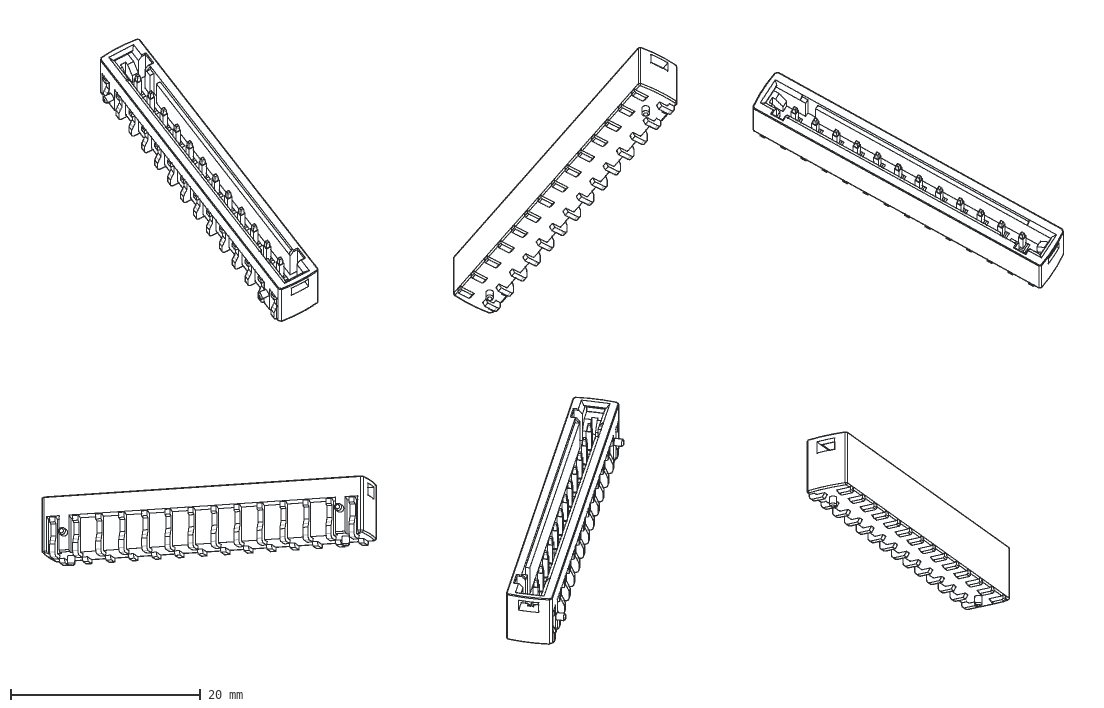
import cadquery as cq
import math


length = 35.78
depth = 4.95
height = 6.05
end_bulge = 0.18
front_corner_chamfer = 0.25
back_corner_chamfer = 0.18
rim_chamfer = 0.09
base_chamfer = 0.18

floor_z = -4.0
opening_length = 34.55
opening_width = 3.08
cavity_length = 33.8
cavity_width = 2.15
side_lead_in = 0.55
end_lead_in = (opening_length - cavity_length) / 2
end_recess = 3.95
gap_from_end = 5.22
gap_width = 1.25
slot_from_end = 2.97
slot_width = 1.32
slot_back_y = 1.97
slot_chamfer = 0.1

window_top = -0.55
window_sill = -1.82
ramp_start = 1.35
ramp_end = 2.3
ramp_foot_z = window_sill - (ramp_end - ramp_start)
groove_width = 0.65

pitch = 2.55
pin_count = 12
contact_count = pin_count + 2
contact_width = 0.57
pin_tip_z = -0.55
pin_shoulder_z = -1.32
pin_neck_z = -0.75
pin_shoulder_width = 0.45
pin_neck_width = 0.4
pin_tip_width = 0.3
collar_width = 1.2
collar_top_width = 0.93
collar_height = 0.35
contact_front_y = -2.58
blade_front_y = -2.15
nose_top_z = -2.25
nose_bottom_z = -2.8
blade_top_z = -2.95
blade_bottom_z = -4.22
step_y = -2.4
step_z = -4.75
front_foot_top_z = -5.2
foot_z = -6.48
foot_radius = 0.43
arch_width = 2.0
arch_top_width = 1.43
heel_y = 2.45
heel_chamfer = 0.15
spine_y = -1.43
bar_top_z = -5.72

recess_top = -2.15
recess_inner_top = -2.35
recess_depth = 0.75
recess_length = 34.35
post_width = 1.07
peg_x = (pin_count / 2) * pitch
peg_diameter = 0.8
peg_chamfer = 0.16
peg_end_y = -3.45
peg_end_z = -7.0
front_peg_z = {-1: -4.0, 1: -3.4}
base_peg_y = {-1: 0.0, 1: -0.57}

half_length = length / 2
front_y = -depth / 2
back_y = depth / 2
base_z = -height
sides = (-1, 1)


def box(x_min, x_max, y_min, y_max, z_min, z_max):
    """Axis-aligned block from its limits."""
    size = (x_max - x_min, y_max - y_min, z_max - z_min)
    return cq.Workplane("XY").box(*size, centered=False).translate((x_min, y_min, z_min))


def frustum(bottom_width, top_width, z_min, z_max):
    """Square tapered block on the Z axis."""
    return (
        cq.Workplane("XY", origin=(0, 0, z_min))
        .rect(bottom_width, bottom_width)
        .workplane(offset=z_max - z_min)
        .rect(top_width, top_width)
        .loft(ruled=True)
    )


def row(count):
    """X positions of evenly pitched items centred on X = 0."""
    return [(i - (count - 1) / 2) * pitch for i in range(count)]


def make_housing():
    """Solid block with slightly bulged ends."""
    corner_x = half_length - end_bulge
    return (
        cq.Workplane("XY", origin=(0, 0, base_z))
        .moveTo(-corner_x, front_y)
        .lineTo(corner_x, front_y)
        .threePointArc((half_length, 0), (corner_x, back_y))
        .lineTo(-corner_x, back_y)
        .threePointArc((-half_length, 0), (-corner_x, front_y))
        .close()
        .extrude(height)
        .edges("|Z and <Y")
        .chamfer(front_corner_chamfer)
        .edges("|Z and >Y")
        .chamfer(back_corner_chamfer)
        .faces(">Z")
        .chamfer(rim_chamfer)
        .faces("<Z")
        .chamfer(base_chamfer)
    )


def funnel(plane, top_width, bottom_width, slope_height, extent):
    """Straight-sided channel that widens towards the rim, centred on the origin."""
    return (
        cq.Workplane(plane)
        .polyline([
            (-top_width / 2, 0),
            (-bottom_width / 2, -slope_height),
            (-bottom_width / 2, floor_z),
            (bottom_width / 2, floor_z),
            (bottom_width / 2, -slope_height),
            (top_width / 2, 0),
        ])
        .close()
        .extrude(extent / 2, both=True)
    )


def make_cavity():
    """Pocket with lead-in slopes around both ends and square ledges along the middle."""
    along = funnel("XZ", opening_length, cavity_length, end_lead_in, opening_width)
    across = funnel("YZ", opening_width, cavity_width, side_lead_in, opening_length)
    ledge_x = half_length - end_recess
    ledges = box(-ledge_x, ledge_x, -opening_width / 2, opening_width / 2, -side_lead_in, 0)
    return along.intersect(across).union(ledges)


def make_side_cuts():
    """Key slots in the back wall and one gap in each side ledge."""
    cuts = cq.Workplane("XY")
    for side in sides:
        slot_x = side * (half_length - slot_from_end)
        slot = box(slot_x - slot_width / 2, slot_x + slot_width / 2, 0, slot_back_y, floor_z, 0)
        flare = (
            cq.Workplane("XY", origin=(slot_x, slot_back_y / 2, 0))
            .rect(slot_width + 2 * slot_chamfer, slot_back_y + 2 * slot_chamfer)
            .workplane(offset=-slot_chamfer)
            .rect(slot_width, slot_back_y)
            .loft(ruled=True)
        )
        cuts = cuts.union(slot).union(flare)
        gap_x = side * (half_length - gap_from_end)
        gap_y = sorted((0, -side * opening_width / 2))
        cuts = cuts.union(box(gap_x - gap_width / 2, gap_x + gap_width / 2, *gap_y, floor_z, 0))
    return cuts


def make_end_block(side):
    """Ramped, grooved block that carries the window sill at one end of the cavity."""
    wall_x = side * cavity_length / 2
    top_x = side * (half_length - ramp_start)
    foot_x = side * (half_length - ramp_end)
    ramp = (
        cq.Workplane("XZ", origin=(0, cavity_width / 2, 0))
        .polyline([
            (wall_x, floor_z),
            (wall_x, window_sill),
            (top_x, window_sill),
            (foot_x, ramp_foot_z),
            (foot_x, floor_z),
        ])
        .close()
        .extrude(cavity_width)
    )
    groove_x = sorted((wall_x, foot_x))
    return ramp.cut(box(*groove_x, -groove_width / 2, groove_width / 2, floor_z, window_sill))


def make_front_recess():
    """Open-bottomed recess for the contacts, split by two posts that carry the pegs."""
    recess = (
        cq.Workplane("YZ", origin=(-recess_length / 2, 0, 0))
        .polyline([
            (front_y, recess_top),
            (front_y + recess_depth, recess_inner_top),
            (front_y + recess_depth, base_z),
            (front_y, base_z),
        ])
        .close()
        .extrude(recess_length)
    )
    for side in sides:
        post_x = side * peg_x
        recess = recess.cut(
            box(post_x - post_width / 2, post_x + post_width / 2, front_y, 0, base_z, 0)
        )
    return recess


def make_contact():
    """Blade with a retaining nose, a stepped front foot and a back foot, centred on X = 0."""
    arc_inset = foot_radius * (1 - math.sqrt(0.5))
    return (
        cq.Workplane("YZ", origin=(-contact_width / 2, 0, 0))
        .moveTo(front_y, recess_top)
        .lineTo(contact_front_y, nose_top_z)
        .lineTo(contact_front_y, nose_bottom_z)
        .lineTo(blade_front_y, blade_top_z)
        .lineTo(blade_front_y, blade_bottom_z)
        .lineTo(step_y, step_z)
        .lineTo(contact_front_y, front_foot_top_z)
        .lineTo(contact_front_y, foot_z + foot_radius)
        .threePointArc(
            (contact_front_y + arc_inset, foot_z + arc_inset),
            (contact_front_y + foot_radius, foot_z),
        )
        .lineTo(-arch_width / 2, foot_z)
        .lineTo(-arch_top_width / 2, base_z)
        .lineTo(arch_top_width / 2, base_z)
        .lineTo(arch_width / 2, foot_z)
        .lineTo(heel_y - heel_chamfer, foot_z)
        .lineTo(heel_y, foot_z + heel_chamfer)
        .lineTo(heel_y, bar_top_z)
        .lineTo(spine_y, bar_top_z)
        .lineTo(spine_y, recess_top)
        .close()
        .extrude(contact_width)
    )


def make_pin():
    """Square pin with a tapered tip, standing in a tapered collar on the cavity floor."""
    half_width = contact_width / 2
    collar = frustum(collar_width, collar_top_width, floor_z, floor_z + collar_height)
    shank = box(-half_width, half_width, -half_width, half_width, floor_z, pin_shoulder_z)
    neck = frustum(pin_shoulder_width, pin_neck_width, pin_shoulder_z, pin_neck_z)
    tip = frustum(pin_neck_width, pin_tip_width, pin_neck_z, pin_tip_z)
    return collar.union(shank).union(neck).union(tip)


def make_peg(peg_length):
    """Round peg pointing down from the origin, chamfered at its tip."""
    return (
        cq.Workplane("XY")
        .circle(peg_diameter / 2)
        .extrude(-peg_length)
        .faces("<Z")
        .chamfer(peg_chamfer)
    )


def make_windows():
    """Openings above the sill through both end walls."""
    half_width = cavity_width / 2
    return (
        box(-half_length, half_length, -half_width, half_width, window_sill, window_top)
        .cut(box(-cavity_length / 2, cavity_length / 2, -half_width, half_width, window_sill, window_top))
    )


result = make_housing().cut(make_cavity()).cut(make_side_cuts())
result = result.cut(make_front_recess()).cut(make_windows())

contact = make_contact()
for x in row(contact_count):
    result = result.union(contact.translate((x, 0, 0)))

pin = make_pin()
for x in row(pin_count):
    result = result.union(pin.translate((x, 0, 0)))

base_peg = make_peg(base_z - peg_end_z)
front_peg = make_peg(front_y - peg_end_y).rotate((0, 0, 0), (1, 0, 0), -90)
for side in sides:
    result = result.union(make_end_block(side))
    result = result.union(base_peg.translate((side * peg_x, base_peg_y[side], base_z)))
    result = result.union(front_peg.translate((side * peg_x, front_y, front_peg_z[side])))

result = cq.Workplane(result.solids().val())